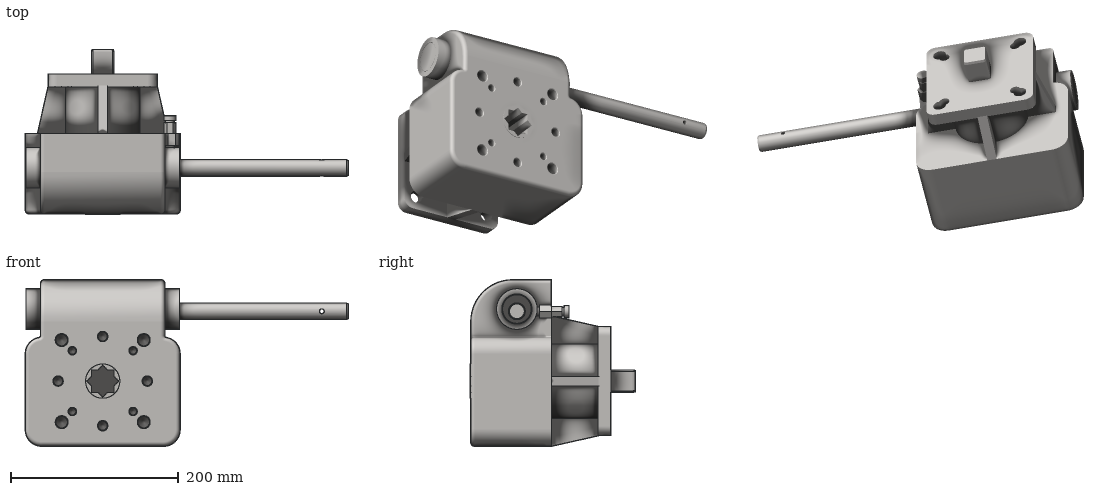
import cadquery as cq
import math


housing_half_width = 92.5
housing_bottom = -78.0
housing_depth = 96.5
corner_radius = 20.0
shoulder_top = 52.5
edge_fillet = 5.0
notch_fillet = 1.5
head_half_width = 74.5
head_top = 121.0
head_arc_radius = 50.0

drive_ring_radius = 20.5
drive_ring_height = 0.8
drive_square = 27.0
socket_depth = 46.3
tang_length = 29.3
tang_corner_chamfer = 2.0
tang_tip_length = 3.0
tang_tip_inset = 0.8

large_hole_offset = 49.0
large_hole_radius = 7.7
middle_hole_offset = 53.2
middle_hole_radius = 6.0
small_hole_offset = 36.2
small_hole_radius = 5.0
hole_mouth_chamfer = 0.8
hole_depth_ratio = 2.0
drill_point_angle = 118

bracket_length = 55.5
bracket_radius = 44.7
flange_half_width = 65.0
flange_thickness = 15.5
flange_corner_radius = 10.8
flange_outer_hole_radius = 7.7
flange_inner_hole_offset = 43.0
flange_inner_hole_radius = 6.0
rib_thickness = 11.5
rib_reach_at_housing = 78.0
rib_embed = 1.0

input_y = -41.3
input_z = 86.0
boss_radius = 24.3
boss_half_length = 91.8
bore_radius = 17.7
sleeve_radius = 17.5
rod_offset_z = -2.7
rod_radius = 10.0
rod_end_x = 293.0
rod_chamfer_length = 2.5
rod_chamfer_inset = 1.0
pin_hole_x = 261.5
pin_hole_radius = 2.7

nipple_x = 80.2
nipple_z = 83.0
nipple_hex_radius = 7.5
nipple_hex_end = 12.7
nipple_root_y = -21.5
nipple_neck_radius = 5.5
nipple_head_radius = 7.5
nipple_head_start = 15.0
nipple_head_end = 21.2
nut_x = 82.0
nut_hex_radius = 9.0
nut_start = -14.3


def plane_facing_back(y):
    """Plane parallel to XZ at the given y; local x is -X, local y is Z, and extrusion goes to +Y."""
    return cq.Workplane(cq.Plane(origin=(0, y, 0), xDir=(-1, 0, 0), normal=(0, 1, 0)))


def rod_along_x(radius, x_start, x_end, y, z):
    return cq.Workplane("YZ", origin=(x_start, y, z)).circle(radius).extrude(x_end - x_start)


def diagonal_points(offset):
    return [(sx * offset, sz * offset) for sx in (-1, 1) for sz in (-1, 1)]


def axial_points(offset):
    return [(-offset, 0), (offset, 0), (0, -offset), (0, offset)]


def make_housing_block():
    base_height = shoulder_top - housing_bottom
    base = (
        cq.Workplane("XZ")
        .center(0, housing_bottom + base_height / 2)
        .rect(2 * housing_half_width, base_height)
        .extrude(housing_depth)
        .edges("|Y")
        .fillet(corner_radius)
    )
    head = (
        cq.Workplane("XZ")
        .center(0, head_top / 2)
        .rect(2 * head_half_width, head_top)
        .extrude(housing_depth)
        .edges(">Z and <Y")
        .fillet(head_arc_radius)
    )
    block = base.union(head)

    for side in (-1, 1):
        notch = (side * head_half_width, -housing_depth / 2, shoulder_top)
        block = block.edges(cq.selectors.NearestToPointSelector(notch)).fillet(notch_fillet)

    front_outline = block.faces("<Y").edges("not(|X and >Z)")
    head_sides = block.edges("|Y and >Z")
    arc_middle_y = head_arc_radius * (1 - math.sqrt(0.5)) - housing_depth
    arc_middle_z = head_top - head_arc_radius * (1 - math.sqrt(0.5))
    head_arcs = [
        block.edges(
            cq.selectors.NearestToPointSelector((side * head_half_width, arc_middle_y, arc_middle_z))
        ).val()
        for side in (-1, 1)
    ]
    return block.newObject(front_outline.vals() + head_sides.vals() + head_arcs).fillet(edge_fillet)


def make_side_ribs():
    """Pair of tapered ribs on the +X and -X sides of the bracket."""
    flange_edge = bracket_length + rib_embed
    return (
        cq.Workplane("XY")
        .polyline([
            (-rib_reach_at_housing, 0),
            (rib_reach_at_housing, 0),
            (flange_half_width, flange_edge),
            (-flange_half_width, flange_edge),
        ])
        .close()
        .extrude(rib_thickness / 2, both=True)
    )


def flange_holes(offset, radius):
    return (plane_facing_back(bracket_length).pushPoints(diagonal_points(offset))
            .circle(radius).extrude(flange_thickness))


def make_bracket():
    barrel = plane_facing_back(0).circle(bracket_radius).extrude(bracket_length)
    flange = (
        plane_facing_back(bracket_length)
        .rect(2 * flange_half_width, 2 * flange_half_width)
        .extrude(flange_thickness)
        .edges("|Y")
        .fillet(flange_corner_radius)
        .cut(flange_holes(large_hole_offset, flange_outer_hole_radius))
        .cut(flange_holes(flange_inner_hole_offset, flange_inner_hole_radius))
    )
    side_ribs = make_side_ribs()
    upright_ribs = side_ribs.rotate((0, 0, 0), (0, 1, 0), 90)
    return barrel.union(flange).union(side_ribs).union(upright_ribs)


def make_tang():
    tang_start = bracket_length + flange_thickness
    straight_length = tang_length - tang_tip_length
    straight = (
        plane_facing_back(tang_start)
        .rect(drive_square, drive_square)
        .extrude(straight_length)
        .edges("|Y")
        .chamfer(tang_corner_chamfer)
    )
    tip_angle = math.degrees(math.atan(tang_tip_inset / tang_tip_length))
    return straight.union(straight.faces(">Y").wires().toPending().workplane()
                          .extrude(tang_tip_length, taper=tip_angle))


def make_blind_holes(points, mouth_radius):
    """Drilled holes with chamfered mouths and conical bottoms, entering the front face."""
    radius = mouth_radius - hole_mouth_chamfer
    depth = hole_depth_ratio * 2 * radius
    point_depth = radius / math.tan(math.radians(drill_point_angle / 2))
    drill = (
        cq.Workplane("XY")
        .polyline([
            (0, 0),
            (mouth_radius, 0),
            (radius, hole_mouth_chamfer),
            (radius, depth),
            (0, depth + point_depth),
        ])
        .close()
        .revolve(360, (0, 0, 0), (0, 1, 0))
    )
    holes = cq.Workplane()
    for x, z in points:
        holes = holes.add(drill.translate((x, -housing_depth, z)))
    return holes.combine()


def make_star_socket():
    front = -housing_depth - drive_ring_height
    square = plane_facing_back(front).rect(drive_square, drive_square).extrude(socket_depth)
    return square.union(square.rotate((0, 0, 0), (0, 1, 0), 45))


def make_nipple():
    def cylinder(radius, y_start, y_end):
        return (plane_facing_back(y_start).center(-nipple_x, nipple_z)
                .circle(radius).extrude(y_end - y_start))

    nut = (plane_facing_back(nut_start).center(-nut_x, nipple_z)
           .polygon(6, 2 * nut_hex_radius).extrude(-nut_start))
    hexagon = (plane_facing_back(0).center(-nipple_x, nipple_z)
               .polygon(6, 2 * nipple_hex_radius).extrude(nipple_hex_end))
    neck = cylinder(nipple_neck_radius, nipple_root_y, nipple_head_start)
    head = cylinder(nipple_head_radius, nipple_head_start, nipple_head_end)
    return nut.union(hexagon).union(neck).union(head)


def make_housing():
    ring = plane_facing_back(-housing_depth - drive_ring_height).circle(drive_ring_radius).extrude(
        drive_ring_height)
    bosses = rod_along_x(boss_radius, -boss_half_length, boss_half_length, input_y, input_z)
    bore = rod_along_x(bore_radius, -boss_half_length, boss_half_length, input_y, input_z)
    return (
        make_housing_block()
        .union(ring)
        .union(bosses)
        .union(make_bracket())
        .union(make_tang())
        .union(make_nipple())
        .cut(make_star_socket())
        .cut(make_blind_holes(diagonal_points(large_hole_offset), large_hole_radius))
        .cut(make_blind_holes(axial_points(middle_hole_offset), middle_hole_radius))
        .cut(make_blind_holes(diagonal_points(small_hole_offset), small_hole_radius))
        .cut(bore)
    )


def make_input_shaft():
    sleeve = rod_along_x(sleeve_radius, -boss_half_length, boss_half_length, input_y, input_z)
    rod_z = input_z + rod_offset_z
    rod = (
        rod_along_x(rod_radius, boss_half_length, rod_end_x, input_y, rod_z)
        .faces(">X")
        .chamfer(rod_chamfer_length, rod_chamfer_inset)
    )
    pin_hole = (
        cq.Workplane("XZ", origin=(pin_hole_x, input_y, rod_z))
        .circle(pin_hole_radius)
        .extrude(rod_radius, both=True)
    )
    return sleeve.union(rod).cut(pin_hole)


housing = make_housing()
input_shaft = make_input_shaft()
result = cq.Compound.makeCompound([housing.val(), input_shaft.val()])